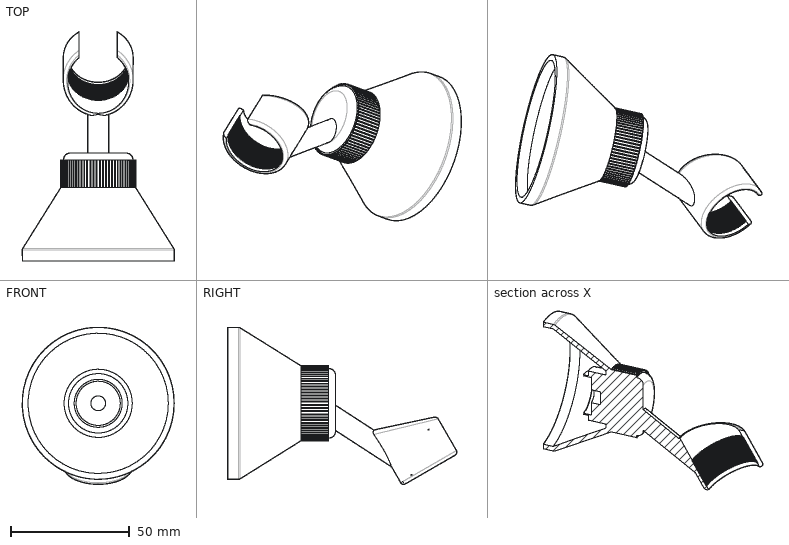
import cadquery as cq
import math

BELL_RADIUS = 32.0
RIM_WIDTH = 5.0
RIM_ROUND = 1.3
CONE_END = 30.9
MOUTH_RADIUS = 29.5
MOUTH_DEPTH = 4.5
BELL_FLOOR_RADIUS = 14.35
BELL_FLOOR = 28.3

BOSS_RADIUS = 12.5
BOSS_FACE = 20.5
LIP_RADIUS = 10.1
LIP_FACE = 18.3
CUP_RADIUS = 9.3
CUP_FLOOR = 21.8
CENTRE_HOLE_RADIUS = 3.1
CENTRE_HOLE_DEPTH = 4.0

COLLAR_RADIUS = 15.8
COLLAR_END = 42.5
RIB_COUNT = 72
RIB_RADIUS = 0.45

CAP_RADIUS = 14.7
CAP_END = 45.5
CAP_ROUND = CAP_END - COLLAR_END

ARM_RADIUS = 4.5
ARM_ANGLE = math.radians(33.0)
ARM_PIVOT_Y = 36.0

RING_RADIUS = 14.75
RING_BORE_RADIUS = 12.8
RING_TILT = math.radians(30.0)
RING_BASE_Y = 86.33
RING_BASE_Z = -27.3
RING_HEIGHT = 22.0
RING_TOP_SLOPE = math.radians(18.0)
RING_EDGE_ROUND = 1.45
RING_MOUTH = 16.0
CUTTER_MARGIN = 1.0

GROOVE_COUNT = 120
GROOVE_RADIUS = 0.2
GROOVE_START = 2.0
GROOVE_END = 15.0

MATCH_TOLERANCE = 0.01

RING_PLANE = cq.Plane(
    origin=(0, RING_BASE_Y, RING_BASE_Z),
    xDir=(1, 0, 0),
    normal=(0, -math.sin(RING_TILT), math.cos(RING_TILT)),
)


def turned(outline):
    """Close a half profile, drawn as (radius, y), and revolve it about the Y axis."""
    return outline.close().revolve(360, (0, 0, 0), (0, 1, 0))


def facing_back(y):
    """Workplane that faces +Y at the given distance from the mouth."""
    return cq.Workplane(cq.Plane(origin=(0, y, 0), xDir=(1, 0, 0), normal=(0, 1, 0)))


def make_bell():
    bell = turned(
        cq.Workplane("XY")
        .moveTo(0, 0)
        .lineTo(BELL_RADIUS, 0)
        .lineTo(BELL_RADIUS, RIM_WIDTH)
        .lineTo(COLLAR_RADIUS, CONE_END)
        .lineTo(0, CONE_END)
    )
    circles = bell.edges("%CIRCLE").vals()
    rim_edges = [edge for edge in circles if abs(edge.Center().y - RIM_WIDTH) < MATCH_TOLERANCE]
    return bell.newObject(rim_edges).fillet(RIM_ROUND)


def make_bell_cavity():
    """The hollow of the bell, leaving the stepped boss and its cup standing."""
    hole_end = CUP_FLOOR + CENTRE_HOLE_DEPTH
    return turned(
        cq.Workplane("XY")
        .moveTo(0, 0)
        .lineTo(MOUTH_RADIUS, 0)
        .lineTo(MOUTH_RADIUS, MOUTH_DEPTH)
        .lineTo(BELL_FLOOR_RADIUS, BELL_FLOOR)
        .lineTo(BOSS_RADIUS, BELL_FLOOR)
        .lineTo(BOSS_RADIUS, BOSS_FACE)
        .lineTo(LIP_RADIUS, BOSS_FACE)
        .lineTo(LIP_RADIUS, LIP_FACE)
        .lineTo(CUP_RADIUS, LIP_FACE)
        .lineTo(CUP_RADIUS, CUP_FLOOR)
        .lineTo(CENTRE_HOLE_RADIUS, CUP_FLOOR)
        .lineTo(CENTRE_HOLE_RADIUS, hole_end)
        .lineTo(0, hole_end)
    )


def make_collar():
    """Cylinder ringed by half-round ribs that reach the collar radius."""
    length = COLLAR_END - CONE_END
    core_radius = COLLAR_RADIUS - RIB_RADIUS
    core = facing_back(CONE_END).circle(core_radius).extrude(length)
    ribs = (
        facing_back(CONE_END)
        .polarArray(core_radius, 0, 360, RIB_COUNT)
        .circle(RIB_RADIUS)
        .extrude(length)
    )
    return core.union(ribs)


def make_cap():
    cap = facing_back(CONE_END).circle(CAP_RADIUS).extrude(CAP_END - CONE_END)
    return cap.faces(">Y").edges().fillet(CAP_ROUND)


def make_arm():
    """Round bar from the pivot to the ring, trimmed where it meets the bore."""
    arm_plane = cq.Plane(
        origin=(0, ARM_PIVOT_Y, 0),
        xDir=(1, 0, 0),
        normal=(0, math.cos(ARM_ANGLE), -math.sin(ARM_ANGLE)),
    )
    length = (RING_BASE_Y - RING_RADIUS - ARM_PIVOT_Y) / math.cos(ARM_ANGLE)
    bar = cq.Workplane(arm_plane).circle(ARM_RADIUS).extrude(length)
    bore = cq.Workplane(RING_PLANE).circle(RING_BORE_RADIUS).extrude(2 * RING_HEIGHT)
    return bar.cut(bore)


def is_outer_end_edge(edge):
    """True for the curved end edges of the ring that lie on its outer wall."""
    start = RING_PLANE.toLocalCoords(edge.startPoint())
    wall_middle = (RING_RADIUS + RING_BORE_RADIUS) / 2
    return edge.geomType() != "LINE" and math.hypot(start.x, start.y) > wall_middle


def make_ring():
    """Tube trimmed to a sloped top, opened by the mouth and rounded on its outer edges."""
    reach = RING_RADIUS + CUTTER_MARGIN
    fall = reach * math.tan(RING_TOP_SLOPE)
    tallest = RING_HEIGHT + fall
    side_plane = cq.Plane(origin=RING_PLANE.origin, xDir=RING_PLANE.yDir, normal=(1, 0, 0))
    wedge = (
        cq.Workplane(side_plane)
        .moveTo(-reach, 0)
        .lineTo(reach, 0)
        .lineTo(reach, RING_HEIGHT - fall)
        .lineTo(-reach, tallest)
        .close()
        .extrude(reach, both=True)
    )
    tube = cq.Workplane(RING_PLANE).circle(RING_RADIUS).circle(RING_BORE_RADIUS).extrude(tallest)
    mouth = cq.Workplane(RING_PLANE).center(0, reach).rect(RING_MOUTH, 2 * reach).extrude(tallest)
    ring = tube.intersect(wedge).cut(mouth)
    outer_edges = [edge for edge in ring.edges().vals() if is_outer_end_edge(edge)]
    return ring.newObject(outer_edges).fillet(RING_EDGE_ROUND)


def make_grip_grooves():
    return (
        cq.Workplane(RING_PLANE)
        .workplane(offset=GROOVE_START)
        .polarArray(RING_BORE_RADIUS, 0, 360, GROOVE_COUNT)
        .circle(GROOVE_RADIUS)
        .extrude(GROOVE_END - GROOVE_START)
    )


body = make_bell().union(make_collar()).union(make_cap()).union(make_arm())
body = body.cut(make_bell_cavity())
result = body.union(make_ring()).cut(make_grip_grooves())